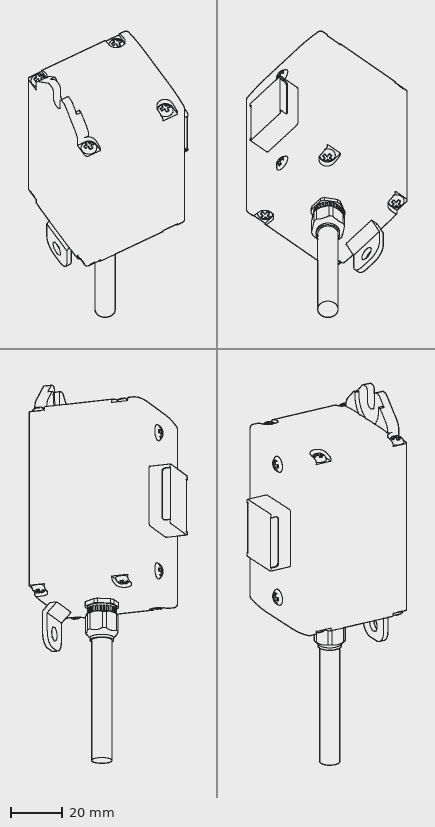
import cadquery as cq
import math

HALF_WIDTH = 22.5
DEPTH = 45.3
MID_Z = 102.5
TUBE_HALF_LENGTH = 31.57
CAP_HEIGHT = 6.9
CAP_ARCH_DROP = 1.8
CAP_FLAT_HALF_WIDTH = 10.0
FRONT_EDGE_RADIUS = 1.0
BACK_EDGE_RADIUS = 1.7
CAP_TOP_Z = MID_Z + TUBE_HALF_LENGTH + CAP_HEIGHT
CAP_BOTTOM_Z = MID_Z - TUBE_HALF_LENGTH - CAP_HEIGHT

POCKET_FLOOR = 3.7
FRONT_SCREW = (19.1, 3.2)
BACK_SCREW = (18.5, 38.0)
POCKET_RADIUS = 3.29
SCREW_RADIUS = 3.0
SCREW_HEAD_HEIGHT = 2.5
CROSS_LENGTH = 3.8
CROSS_WIDTH = 1.2
CROSS_DEPTH = 0.9

FLANGE_TOP_Z = 152.9
FLANGE_HALF_WIDTH = FRONT_SCREW[0] - POCKET_RADIUS
FLANGE_SHOULDER_Z = 143.1
FLANGE_THICKNESS = 5.0
FLANGE_THIN = 3.2
FLANGE_STEP_Z = 149.0
FLANGE_SHOULDER_RADIUS = 5.4
FLANGE_TIP_RADIUS = 2.1
SLOT_RADIUS = 2.6
SLOT_BOTTOM_Z = 144.8
SLOT_MOUTH_RADIUS = 1.5
RECESS_RADIUS = 8.9

TAB_HALF_WIDTH = 7.6
TAB_BOTTOM_Z = 47.4
TAB_THICKNESS = 2.06
TAB_BEND_Z = 60.9
TAB_CORNER_RADIUS = 5.4
TAB_HOLE_Z = 53.5
TAB_HOLE_RADIUS = 2.8

CABLE_Y = 21.9
CABLE_RADIUS = 4.0
HEX_ACROSS_FLATS = 12.1
HEX_CORNER_RADIUS = 6.5
NUT_CHAMFER = 0.6
GLAND_NECK_RADIUS = 5.7
NECK_GROOVES = 24
NECK_GROOVE_DEPTH = 0.5
NECK_GROOVE_TOP_Z = 61.5
GLAND_TIP_RADIUS = 4.6
COLLAR_BOTTOM_Z = 62.2
NUT_TOP_Z = 59.2
NUT_BOTTOM_Z = 51.4
CONE_BOTTOM_Z = 49.8
GLAND_BOTTOM_Z = 48.8

BLOCK_HALF_WIDTH = 9.2
BLOCK_BACK_Y = 54.0
BLOCK_HALF_HEIGHT = 12.1
BLOCK_EDGE_RADIUS = 0.8
SIDE_RECESS_DEPTH = 0.6
SIDE_RECESS_LENGTH = 3.4
SIDE_RECESS_RIM = 1.5
SIDE_RECESS_RADIUS = 1.2
BACK_SCREW_OFFSET = 28.05
BACK_SCREW_RADIUS = 3.2
BACK_SCREW_HEIGHT = 1.91


def box(x0, x1, y0, y1, z0, z1):
    return cq.Workplane("XY").box(x1 - x0, y1 - y0, z1 - z0, centered=False).translate((x0, y0, z0))


def cylinder(x, y, radius, z0, z1):
    return cq.Workplane("XY").circle(radius).extrude(z1 - z0).translate((x, y, z0))


def screw_head(radius, height):
    """Domed head with a cross recess, base on Z = 0."""
    sphere_radius = (radius**2 + height**2) / (2 * height)
    mid = math.asin(radius / sphere_radius) / 2
    mid_z = height - sphere_radius + sphere_radius * math.cos(mid)
    head = (
        cq.Workplane("XZ")
        .lineTo(radius, 0)
        .threePointArc((sphere_radius * math.sin(mid), mid_z), (0, height))
        .close()
        .revolve(360, (0, 0, 0), (0, 1, 0))
    )
    cross = cq.Workplane("XY").rect(CROSS_LENGTH, CROSS_WIDTH).extrude(height)
    cross = cross.union(cq.Workplane("XY").rect(CROSS_WIDTH, CROSS_LENGTH).extrude(height))
    return head.cut(cross.translate((0, 0, height - CROSS_DEPTH)))


def round_upright_edges(solid):
    solid = solid.edges("|Z and <Y").fillet(FRONT_EDGE_RADIUS)
    return solid.edges("|Z and >Y").fillet(BACK_EDGE_RADIUS)


def make_tube():
    z0 = MID_Z - TUBE_HALF_LENGTH
    z1 = MID_Z + TUBE_HALF_LENGTH
    return round_upright_edges(box(-HALF_WIDTH, HALF_WIDTH, 0, DEPTH, z0, z1))


def corner_pocket(x, y, z0, z1, open_to_front):
    """Round pocket for a right-hand screw, open to the side and optionally to the front."""
    pocket = cylinder(x, y, POCKET_RADIUS, z0, z1)
    pocket = pocket.union(box(x, HALF_WIDTH, y - POCKET_RADIUS, y + POCKET_RADIUS, z0, z1))
    if open_to_front:
        pocket = pocket.union(box(x - POCKET_RADIUS, HALF_WIDTH, 0, y, z0, z1))
    return pocket


def make_cap():
    """Upper cap with its joint face on Z = 0."""
    side_z = CAP_HEIGHT - CAP_ARCH_DROP
    run = HALF_WIDTH - CAP_FLAT_HALF_WIDTH
    arch_radius = (run**2 + CAP_ARCH_DROP**2) / (2 * CAP_ARCH_DROP)
    mid_x = CAP_FLAT_HALF_WIDTH + run / 2
    mid_z = CAP_HEIGHT - arch_radius + math.sqrt(arch_radius**2 - (run / 2) ** 2)
    cap = (
        cq.Workplane("XZ")
        .moveTo(-HALF_WIDTH, 0)
        .lineTo(HALF_WIDTH, 0)
        .lineTo(HALF_WIDTH, side_z)
        .threePointArc((mid_x, mid_z), (CAP_FLAT_HALF_WIDTH, CAP_HEIGHT))
        .lineTo(-CAP_FLAT_HALF_WIDTH, CAP_HEIGHT)
        .threePointArc((-mid_x, mid_z), (-HALF_WIDTH, side_z))
        .close()
        .extrude(-DEPTH)
    )
    back_and_side_edges = "(>Y and (not <Z)) or (|Y and (<X or >X) and (not <Z))"
    cap = cap.edges(back_and_side_edges).fillet(BACK_EDGE_RADIUS)
    cap = cap.edges("|Z and <Y").fillet(FRONT_EDGE_RADIUS)
    for (x, y), open_to_front in ((FRONT_SCREW, True), (BACK_SCREW, False)):
        pocket = corner_pocket(x, y, POCKET_FLOOR, CAP_HEIGHT, open_to_front)
        cap = cap.cut(pocket).cut(pocket.mirror("YZ"))
        head = screw_head(SCREW_RADIUS, SCREW_HEAD_HEIGHT)
        for side in (-1, 1):
            cap = cap.union(head.translate((side * x, y, POCKET_FLOOR)))
    return cap


def make_flange():
    base_z = CAP_TOP_Z - CAP_HEIGHT + POCKET_FLOOR
    tip_x = FLANGE_HALF_WIDTH - (FLANGE_TOP_Z - FLANGE_SHOULDER_Z)
    flange = (
        cq.Workplane("XZ")
        .moveTo(-FLANGE_HALF_WIDTH, base_z)
        .lineTo(FLANGE_HALF_WIDTH, base_z)
        .lineTo(FLANGE_HALF_WIDTH, FLANGE_SHOULDER_Z)
        .lineTo(tip_x, FLANGE_TOP_Z)
        .lineTo(-tip_x, FLANGE_TOP_Z)
        .lineTo(-FLANGE_HALF_WIDTH, FLANGE_SHOULDER_Z)
        .close()
        .extrude(-FLANGE_THICKNESS)
    )
    for side in (-1, 1):
        shoulder = cq.selectors.NearestToPointSelector(
            (side * FLANGE_HALF_WIDTH, FLANGE_THICKNESS / 2, FLANGE_SHOULDER_Z)
        )
        flange = flange.edges(shoulder).fillet(FLANGE_SHOULDER_RADIUS)
    flange = flange.edges("|Y and >Z").fillet(FLANGE_TIP_RADIUS)

    slot_z = SLOT_BOTTOM_Z + SLOT_RADIUS
    slot = cq.Workplane("XZ").center(0, slot_z).circle(SLOT_RADIUS).extrude(-FLANGE_THICKNESS)
    slot = slot.union(box(-SLOT_RADIUS, SLOT_RADIUS, 0, FLANGE_THICKNESS, slot_z, FLANGE_TOP_Z))
    flange = flange.cut(slot)
    for side in (-1, 1):
        mouth = cq.selectors.NearestToPointSelector(
            (side * SLOT_RADIUS, FLANGE_THICKNESS / 2, FLANGE_TOP_Z)
        )
        flange = flange.edges(mouth).fillet(SLOT_MOUTH_RADIUS)
    return flange


def flange_recess():
    """Space behind the thin part of the flange: its tip and a round recess about the slot end."""
    y0 = FLANGE_THIN
    y1 = FLANGE_THICKNESS
    recess = (
        cq.Workplane("XZ", origin=(0, y0, SLOT_BOTTOM_Z + SLOT_RADIUS))
        .circle(RECESS_RADIUS)
        .extrude(y0 - y1)
    )
    tip = box(-FLANGE_HALF_WIDTH, FLANGE_HALF_WIDTH, y0, y1, FLANGE_STEP_Z, FLANGE_TOP_Z)
    return recess.union(tip)


def make_tab():
    rise = CAP_BOTTOM_Z + CAP_ARCH_DROP - TAB_BEND_Z
    inner_bend_z = TAB_BEND_Z + TAB_THICKNESS * (1 - math.tan(math.pi / 8)) - TAB_THICKNESS
    inner_rise = TAB_BEND_Z + rise - inner_bend_z
    tab = (
        cq.Workplane("YZ")
        .moveTo(0, TAB_BOTTOM_Z)
        .lineTo(0, TAB_BEND_Z)
        .lineTo(rise, TAB_BEND_Z + rise)
        .lineTo(TAB_THICKNESS + inner_rise, TAB_BEND_Z + rise)
        .lineTo(TAB_THICKNESS, inner_bend_z)
        .lineTo(TAB_THICKNESS, TAB_BOTTOM_Z)
        .close()
        .extrude(TAB_HALF_WIDTH, both=True)
    )
    tab = tab.edges("|Y and <Z").fillet(TAB_CORNER_RADIUS)
    hole = cq.Workplane("XZ").center(0, TAB_HOLE_Z).circle(TAB_HOLE_RADIUS).extrude(-TAB_THICKNESS)
    return tab.cut(hole)


def hexagon(z0, z1, turn):
    """Hexagonal section with turned-off corners; a corner lies on +X when turn is 0."""
    across_corners = HEX_ACROSS_FLATS / math.cos(math.pi / 6)
    prism = cq.Workplane("XY").polygon(6, across_corners).extrude(z1 - z0)
    prism = prism.rotate((0, 0, 0), (0, 0, 1), turn).translate((0, CABLE_Y, z0))
    return prism.intersect(cylinder(0, CABLE_Y, HEX_CORNER_RADIUS, z0, z1))


def make_gland():
    collar = hexagon(COLLAR_BOTTOM_Z, CAP_BOTTOM_Z, 0)
    neck = cylinder(0, CABLE_Y, GLAND_NECK_RADIUS, NUT_TOP_Z, COLLAR_BOTTOM_Z)
    groove = (
        cq.Workplane("XY", origin=(0, 0, NUT_TOP_Z))
        .rect(NECK_GROOVE_DEPTH * math.sqrt(2), NECK_GROOVE_DEPTH * math.sqrt(2))
        .extrude(NECK_GROOVE_TOP_Z - NUT_TOP_Z)
        .rotate((0, 0, 0), (0, 0, 1), 45)
        .translate((GLAND_NECK_RADIUS, CABLE_Y, 0))
    )
    for i in range(NECK_GROOVES):
        neck = neck.cut(groove.rotate((0, CABLE_Y, 0), (0, CABLE_Y, 1), i * 360 / NECK_GROOVES))
    nut_blank = cylinder(0, CABLE_Y, HEX_CORNER_RADIUS, NUT_BOTTOM_Z, NUT_TOP_Z)
    nut = hexagon(NUT_BOTTOM_Z, NUT_TOP_Z, 90).intersect(nut_blank.faces("<Z or >Z").chamfer(NUT_CHAMFER))
    cone = (
        cq.Workplane("XY", origin=(0, CABLE_Y, CONE_BOTTOM_Z))
        .circle(GLAND_TIP_RADIUS)
        .workplane(offset=NUT_BOTTOM_Z - CONE_BOTTOM_Z)
        .circle(HEX_CORNER_RADIUS - NUT_CHAMFER)
        .loft()
    )
    tip = cylinder(0, CABLE_Y, GLAND_TIP_RADIUS, GLAND_BOTTOM_Z, CONE_BOTTOM_Z)
    cable = cylinder(0, CABLE_Y, CABLE_RADIUS, 0, CAP_BOTTOM_Z)
    return collar.union(neck).union(nut).union(cone).union(tip).union(cable)


def make_back_block():
    z0 = MID_Z - BLOCK_HALF_HEIGHT
    z1 = MID_Z + BLOCK_HALF_HEIGHT
    block = box(-BLOCK_HALF_WIDTH, BLOCK_HALF_WIDTH, DEPTH, BLOCK_BACK_Y, z0, z1)
    block = block.edges("|Y").fillet(BLOCK_EDGE_RADIUS)
    recess = box(
        BLOCK_HALF_WIDTH - SIDE_RECESS_DEPTH,
        BLOCK_HALF_WIDTH,
        BLOCK_BACK_Y - SIDE_RECESS_LENGTH,
        BLOCK_BACK_Y,
        z0 + SIDE_RECESS_RIM,
        z1 - SIDE_RECESS_RIM,
    )
    recess = recess.edges("|X and <Y").fillet(SIDE_RECESS_RADIUS)
    return block.cut(recess).cut(recess.mirror("YZ"))


def make_back_screw(z):
    head = screw_head(BACK_SCREW_RADIUS, BACK_SCREW_HEIGHT)
    return head.rotate((0, 0, 0), (1, 0, 0), -90).translate((0, DEPTH, z))


cap = make_cap()
upper = cap.translate((0, 0, MID_Z + TUBE_HALF_LENGTH)).union(make_flange()).cut(flange_recess())
lower = cap.mirror("XY").translate((0, 0, MID_Z - TUBE_HALF_LENGTH))
lower = lower.union(make_tab()).union(make_gland())
back = make_tube().union(make_back_block())
for offset in (-BACK_SCREW_OFFSET, BACK_SCREW_OFFSET):
    back = back.union(make_back_screw(MID_Z + offset))

result = back.union(upper, clean=False).union(lower, clean=False)